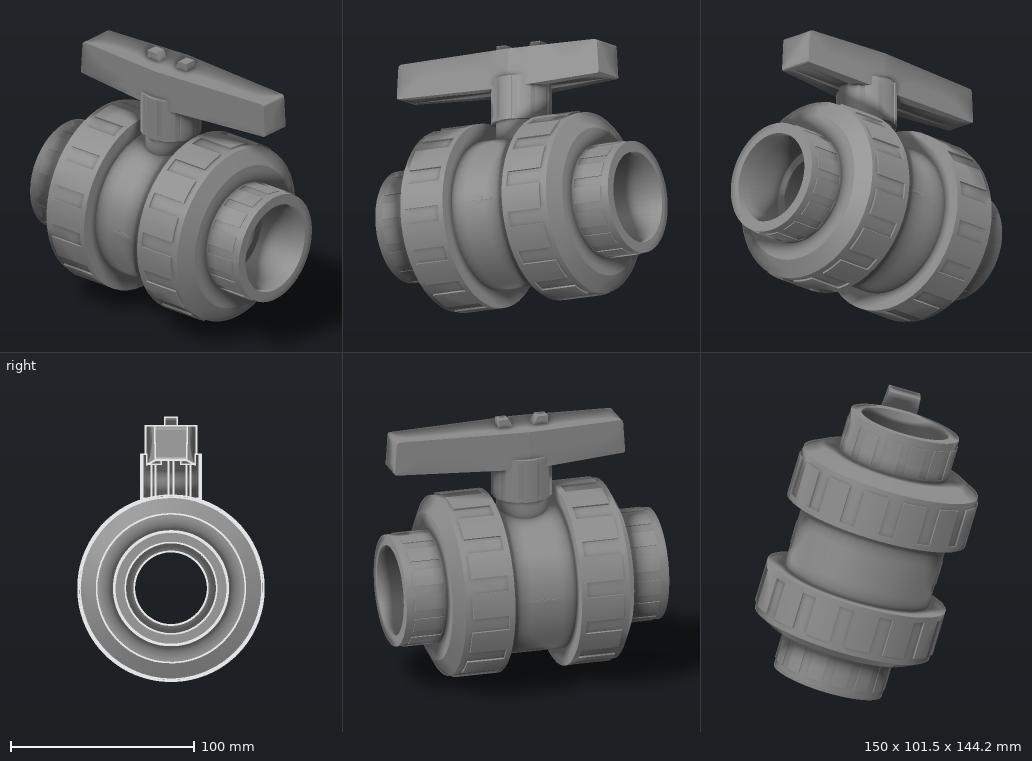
import cadquery as cq

LENGTH = 150.0

CUT_CLEARANCE = 1.5

SOCKET_DIA = 61.5
SOCKET_RIB_DIA = 62.5
SOCKET_RIB_OUTER_X = 70.4
SOCKET_GAP_INNER_X = 53.4
SOCKET_BORE_DIA = 50.0
SOCKET_DEPTH = 31.0
FLOW_BORE_DIA = 40.0

NUT_DIA = 99.5
NUT_RIB_DIA = 101.5
NUT_FACE_DIA = 81.3
NUT_INNER_X = 19.0
NUT_GAP_INNER_X = 22.2
NUT_RIB_OUTER_X = 43.2
NUT_CONE_X = 47.0
NUT_OUTER_X = 51.9

GRIP_COUNT = 14
GRIP_PITCH = 360.0 / GRIP_COUNT
GRIP_GAP_ANGLE = 9.7
GRIP_FIRST_ANGLE = 7.9

BODY_DIA = 82.2
ARROW_LENGTH = 13.2
ARROW_HEAD_WIDTH = 3.3
ARROW_SHAFT_WIDTH = 1.4
ARROW_HEIGHT = 0.5

STEM_DIA = 28.0
HUB_DIA = 33.3
HUB_BOTTOM_Z = 48.9
HUB_TOP_Z = 73.2
FLUTE_COUNT = 10
FLUTE_ANGLE = 9.6
FLUTE_DEPTH = 0.6

HANDLE_TOP_Z = 88.8
HANDLE_END_BOTTOM_Z = 69.8
HANDLE_MID_BOTTOM_Z = 67.2
HANDLE_LEFT_X = -56.1
HANDLE_RIGHT_X = LENGTH / 2
HANDLE_MID_WIDTH = 28.0
HANDLE_LEFT_WIDTH = 20.1
HANDLE_RIGHT_WIDTH = 17.4
HANDLE_END_LEAN = 1.2
HANDLE_LIP_HEIGHT = 1.0
HANDLE_LIP_CHAMFER = 0.6
HANDLE_END_FILLET = 1.8
CHANNEL_WIDTH = 10.5

LUG_TOP_Z = 93.5
LUG_WIDTH = 6.9
LUG_OUTER_X = STEM_DIA / 2
LUG_INNER_X = 5.7
LUG_TOP_INNER_X = 8.2


def cylinder_x(diameter, start_x, end_x):
    return cq.Workplane("YZ", origin=(start_x, 0, 0)).circle(diameter / 2).extrude(end_x - start_x)


def cylinder_z(diameter, start_z, end_z):
    return cq.Workplane("XY", origin=(0, 0, start_z)).circle(diameter / 2).extrude(end_z - start_z)


def grip_gaps(floor_dia, rib_dia, outer_x, inner_x):
    """Ring sectors around X that remove the ribbed layer between neighbouring ribs."""
    gap = (
        cq.Workplane("XY")
        .moveTo(-outer_x, floor_dia / 2)
        .lineTo(-inner_x, floor_dia / 2)
        .lineTo(-inner_x, rib_dia / 2 + CUT_CLEARANCE)
        .lineTo(-outer_x, rib_dia / 2 + CUT_CLEARANCE)
        .close()
        .revolve(GRIP_GAP_ANGLE, (0, 0, 0), (1, 0, 0))
    )
    gaps = cq.Workplane("XY")
    for i in range(GRIP_COUNT):
        turn = GRIP_FIRST_ANGLE + i * GRIP_PITCH - GRIP_GAP_ANGLE / 2
        gaps = gaps.add(gap.rotate((0, 0, 0), (1, 0, 0), turn))
    return gaps.combine()


def left_end():
    """Union nut and pipe socket on the -X side, as one turned profile with grip gaps."""
    profile = [
        (-LENGTH / 2, 0),
        (-LENGTH / 2, SOCKET_DIA / 2),
        (-SOCKET_RIB_OUTER_X, SOCKET_DIA / 2),
        (-SOCKET_RIB_OUTER_X, SOCKET_RIB_DIA / 2),
        (-NUT_OUTER_X, SOCKET_RIB_DIA / 2),
        (-NUT_OUTER_X, NUT_FACE_DIA / 2),
        (-NUT_CONE_X, NUT_DIA / 2),
        (-NUT_RIB_OUTER_X, NUT_DIA / 2),
        (-NUT_RIB_OUTER_X, NUT_RIB_DIA / 2),
        (-NUT_INNER_X, NUT_RIB_DIA / 2),
        (-NUT_INNER_X, 0),
    ]
    end = cq.Workplane("XY").polyline(profile).close().revolve(360, (0, 0, 0), (1, 0, 0))
    end = end.cut(grip_gaps(NUT_DIA, NUT_RIB_DIA, NUT_RIB_OUTER_X, NUT_GAP_INNER_X))
    return end.cut(grip_gaps(SOCKET_DIA, SOCKET_RIB_DIA, SOCKET_RIB_OUTER_X, SOCKET_GAP_INNER_X))


def flow_arrows():
    """Arrows pointing to +X, standing proud of the body on the -Y and +Y sides."""
    tail = -ARROW_LENGTH / 2
    outline = [
        (tail, -ARROW_SHAFT_WIDTH / 2),
        (0, -ARROW_SHAFT_WIDTH / 2),
        (0, -ARROW_HEAD_WIDTH / 2),
        (-tail, 0),
        (0, ARROW_HEAD_WIDTH / 2),
        (0, ARROW_SHAFT_WIDTH / 2),
        (tail, ARROW_SHAFT_WIDTH / 2),
    ]
    prism = cq.Workplane("XZ").polyline(outline).close().extrude(BODY_DIA, both=True)
    return prism.intersect(cylinder_x(BODY_DIA + 2 * ARROW_HEIGHT, tail, -tail))


def fluted_hub():
    """Hub with evenly spaced shallow flutes, one of them centred on +X."""
    hub = cylinder_z(HUB_DIA, HUB_BOTTOM_Z, HUB_TOP_Z)
    flute = (
        cq.Workplane("XZ")
        .moveTo(HUB_DIA / 2 - FLUTE_DEPTH, HUB_BOTTOM_Z)
        .lineTo(HUB_DIA / 2 + CUT_CLEARANCE, HUB_BOTTOM_Z)
        .lineTo(HUB_DIA / 2 + CUT_CLEARANCE, HUB_TOP_Z)
        .lineTo(HUB_DIA / 2 - FLUTE_DEPTH, HUB_TOP_Z)
        .close()
        .revolve(FLUTE_ANGLE, (0, 0, 0), (0, 1, 0))
        .rotate((0, 0, 0), (0, 0, 1), -FLUTE_ANGLE / 2)
    )
    for i in range(FLUTE_COUNT):
        hub = hub.cut(flute.rotate((0, 0, 0), (0, 0, 1), i * 360.0 / FLUTE_COUNT))
    return hub


def handle():
    """Bar with leaning ends, tapered in plan and underneath, with a shallow channel below."""
    lip_z = HANDLE_END_BOTTOM_Z + HANDLE_LIP_CHAMFER
    side = [
        (0, HANDLE_MID_BOTTOM_Z),
        (HANDLE_RIGHT_X - HANDLE_LIP_CHAMFER, HANDLE_END_BOTTOM_Z),
        (HANDLE_RIGHT_X, lip_z),
        (HANDLE_RIGHT_X, lip_z + HANDLE_LIP_HEIGHT),
        (HANDLE_RIGHT_X - HANDLE_END_LEAN, HANDLE_TOP_Z),
        (HANDLE_LEFT_X + HANDLE_END_LEAN, HANDLE_TOP_Z),
        (HANDLE_LEFT_X, lip_z + HANDLE_LIP_HEIGHT),
        (HANDLE_LEFT_X, lip_z),
        (HANDLE_LEFT_X + HANDLE_LIP_CHAMFER, HANDLE_END_BOTTOM_Z),
    ]
    plan = [
        (HANDLE_LEFT_X, -HANDLE_LEFT_WIDTH / 2),
        (0, -HANDLE_MID_WIDTH / 2),
        (HANDLE_RIGHT_X, -HANDLE_RIGHT_WIDTH / 2),
        (HANDLE_RIGHT_X, HANDLE_RIGHT_WIDTH / 2),
        (0, HANDLE_MID_WIDTH / 2),
        (HANDLE_LEFT_X, HANDLE_LEFT_WIDTH / 2),
    ]
    bar = cq.Workplane("XZ").polyline(side).close().extrude(HANDLE_MID_WIDTH, both=True)
    bar = bar.edges("|Y").edges(">Z").fillet(HANDLE_END_FILLET)
    bar = bar.intersect(cq.Workplane("XY").polyline(plan).close().extrude(HANDLE_TOP_Z))
    channel = cq.Workplane("XY").rect(2 * LENGTH, CHANNEL_WIDTH).extrude(HANDLE_END_BOTTOM_Z)
    return bar.cut(channel)


def lugs():
    """Mirrored lugs whose facing sides slope away from each other."""
    outline = [
        (LUG_INNER_X, HANDLE_TOP_Z),
        (LUG_OUTER_X, HANDLE_TOP_Z),
        (LUG_OUTER_X, LUG_TOP_Z),
        (LUG_TOP_INNER_X, LUG_TOP_Z),
    ]
    lug = cq.Workplane("XZ").polyline(outline).close().extrude(LUG_WIDTH / 2, both=True)
    return lug.union(lug.mirror("YZ"))


nut_and_socket = left_end()
valve = (
    cylinder_x(BODY_DIA, -NUT_INNER_X, NUT_INNER_X)
    .union(nut_and_socket)
    .union(nut_and_socket.rotate((0, 0, 0), (0, 0, 1), 180))
    .union(flow_arrows())
    .union(cylinder_z(STEM_DIA, 0, HUB_BOTTOM_Z))
    .union(handle())
    .union(fluted_hub())
    .union(lugs())
)
valve = valve.cut(cylinder_x(FLOW_BORE_DIA, -LENGTH / 2, LENGTH / 2))
socket_bore = cylinder_x(SOCKET_BORE_DIA, -LENGTH / 2, SOCKET_DEPTH - LENGTH / 2)
result = valve.cut(socket_bore).cut(socket_bore.mirror("YZ"))